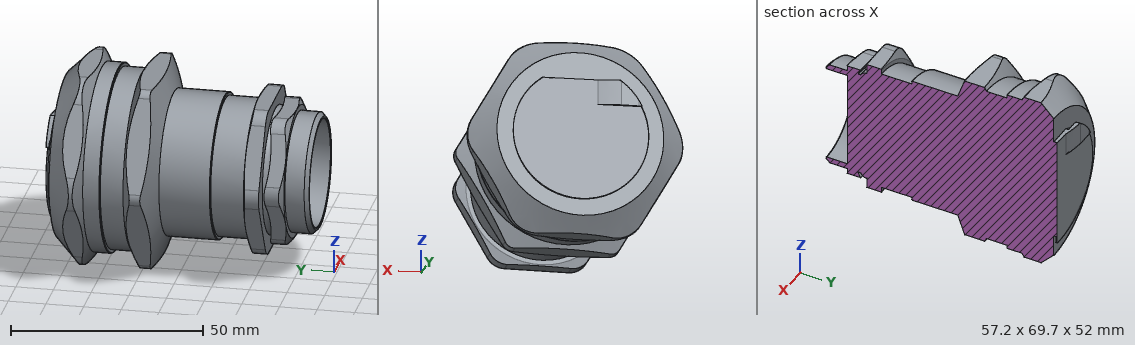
import cadquery as cq
import math

Y_LOCKNUT = 6.2
Y_FLANGE_NUT = 12.0
Y_SLEEVE = 16.5
Y_BODY = 25.4
Y_BODY_NUT = 39.0
Y_NECK = 47.6
Y_COLLAR = 53.6
Y_CAP_NUT = 58.1
Y_BACK = 67.6
Y_END = 69.73

D_TIP = 32.0
D_SLEEVE = 37.0
D_BODY = 38.8
D_NECK = 48.0
D_COLLAR = 50.0
TIP_CHAMFER = 1.1
EDGE_CHAMFER = 0.2

D_BORE = 28.5
BORE_DEPTH = 6.2
BORE_CHAMFER = 0.2

LOCKNUT_FLATS = 35.0
FLANGE_NUT_FLATS = 40.0
BODY_NUT_FLATS = 50.0
CAP_NUT_FLATS = 52.0
SMALL_CORNER_RADIUS = 5.3
BODY_NUT_CORNER_RADIUS = 3.0
CAP_NUT_WIDTH = 57.2

FACE_SLOPE = 30
BODY_NUT_FRONT_SLOPE = 20
CAP_NUT_BACK_SLOPE = 45
FLANGE_NUT_SLOPE = 18
LOCKNUT_BACK_SLOPE = 24
R_CAP_NUT_BACK = 22.2
R_FLANGE_NUT_BACK = 19.7
LOCKNUT_BACK_Y = 10.25

R_SEAL = 17.1
SEAL_ROUNDING = 2.0

R_DISC = 17.9
R_DISC_STEM = 16.0
DISC_THICKNESS = 0.5
DISC_TILT = 2.4
DISC_RISE = 0.95
DISC_TOP_Z = 14.7
FLAP_BOTTOM_Z = 8.0
FLAP_THICKNESS = 0.4
FLAP_ROOT_X = -4.5
FLAP_CREST_X = -10.5
FLAP_TIP_DROP = 0.3


def rise(radial_run, slope):
    """Axial height of a cone over a radial run."""
    return radial_run * math.tan(math.radians(slope))


def turned(points):
    """Solid of revolution about Y from (radius, y) points."""
    return cq.Workplane("XY").polyline(points).close().revolve(360, (0, 0, 0), (0, 1, 0))


def cylinder(diameter, y_start, y_end):
    return cq.Workplane("XZ", origin=(0, y_start, 0)).circle(diameter / 2).extrude(y_start - y_end)


def corner_distance(flats):
    """Axis to sharp hexagon corner."""
    return flats / 2 / math.cos(math.radians(30))


def hex_bar(flats, corner_radius, y_start, y_end):
    """Hexagonal bar with flats facing +Z and -Z and rounded corners."""
    bar = cq.Workplane("XZ", origin=(0, y_start, 0)).polygon(6, 2 * corner_distance(flats))
    return bar.extrude(y_start - y_end).edges("|Y").fillet(corner_radius)


def hex_nut(flats, corner_radius, y_start, y_end, profile):
    """Hexagonal bar with its end faces turned to the given profile."""
    return hex_bar(flats, corner_radius, y_start, y_end).intersect(turned(profile))


def tip():
    return cylinder(D_TIP, 0, Y_FLANGE_NUT).faces("<Y").chamfer(TIP_CHAMFER)


def bore():
    hole = cylinder(D_BORE, 0, BORE_DEPTH)
    mouth = turned([
        (0, 0),
        (D_BORE / 2 + BORE_CHAMFER, 0),
        (D_BORE / 2, BORE_CHAMFER),
        (0, BORE_CHAMFER),
    ])
    return hole.union(mouth)


def locknut():
    r_flat = LOCKNUT_FLATS / 2
    r_max = corner_distance(LOCKNUT_FLATS)
    r_root = R_SEAL - SEAL_ROUNDING
    y_root = LOCKNUT_BACK_Y - rise(r_flat - r_root, LOCKNUT_BACK_SLOPE)
    y_outer = LOCKNUT_BACK_Y + rise(r_max - r_flat, LOCKNUT_BACK_SLOPE)
    profile = [
        (0, Y_LOCKNUT),
        (r_flat, Y_LOCKNUT),
        (r_max, Y_LOCKNUT + rise(r_max - r_flat, FACE_SLOPE)),
        (r_max, y_outer),
        (r_root, y_root),
        (0, y_root),
    ]
    return hex_nut(LOCKNUT_FLATS, SMALL_CORNER_RADIUS, Y_LOCKNUT, y_outer, profile)


def seal_ring():
    """Ring against the flange nut whose outer side is a quarter round."""
    r_inner = R_SEAL - SEAL_ROUNDING
    diagonal_leg = SEAL_ROUNDING * math.cos(math.radians(45))
    outline = (
        cq.Workplane("XY")
        .moveTo(0, Y_FLANGE_NUT)
        .lineTo(R_SEAL, Y_FLANGE_NUT)
        .threePointArc(
            (r_inner + diagonal_leg, Y_FLANGE_NUT - diagonal_leg),
            (r_inner, Y_FLANGE_NUT - SEAL_ROUNDING),
        )
        .lineTo(0, Y_FLANGE_NUT - SEAL_ROUNDING)
        .close()
    )
    return outline.revolve(360, (0, 0, 0), (0, 1, 0))


def flange_nut():
    r_max = corner_distance(FLANGE_NUT_FLATS)
    profile = [
        (0, Y_FLANGE_NUT),
        (r_max, Y_FLANGE_NUT),
        (r_max, Y_SLEEVE - rise(r_max - R_FLANGE_NUT_BACK, FLANGE_NUT_SLOPE)),
        (R_FLANGE_NUT_BACK, Y_SLEEVE),
        (0, Y_SLEEVE),
    ]
    return hex_nut(FLANGE_NUT_FLATS, SMALL_CORNER_RADIUS, Y_FLANGE_NUT, Y_SLEEVE, profile)


def body_nut():
    r_max = corner_distance(BODY_NUT_FLATS)
    r_front = D_BODY / 2
    r_back = D_NECK / 2
    profile = [
        (0, Y_BODY_NUT),
        (r_front, Y_BODY_NUT),
        (r_max, Y_BODY_NUT + rise(r_max - r_front, BODY_NUT_FRONT_SLOPE)),
        (r_max, Y_NECK - rise(r_max - r_back, FACE_SLOPE)),
        (r_back, Y_NECK),
        (0, Y_NECK),
    ]
    return hex_nut(BODY_NUT_FLATS, BODY_NUT_CORNER_RADIUS, Y_BODY_NUT, Y_NECK, profile)


def cap_nut():
    r_max = corner_distance(CAP_NUT_FLATS)
    shortening = 1 / math.cos(math.radians(30)) - 1
    corner_radius = (r_max - CAP_NUT_WIDTH / 2) / shortening
    r_front = D_COLLAR / 2
    profile = [
        (0, Y_CAP_NUT),
        (r_front, Y_CAP_NUT),
        (r_max, Y_CAP_NUT + rise(r_max - r_front, FACE_SLOPE)),
        (r_max, Y_BACK - rise(r_max - R_CAP_NUT_BACK, CAP_NUT_BACK_SLOPE)),
        (R_CAP_NUT_BACK, Y_BACK),
        (0, Y_BACK),
    ]
    return hex_nut(CAP_NUT_FLATS, corner_radius, Y_CAP_NUT, Y_BACK, profile)


def cylinders():
    sleeve = cylinder(D_SLEEVE, Y_SLEEVE, Y_BODY)
    body = cylinder(D_BODY, Y_BODY, Y_BODY_NUT).faces("<Y").chamfer(EDGE_CHAMFER)
    neck = cylinder(D_NECK, Y_NECK, Y_COLLAR)
    collar = cylinder(D_COLLAR, Y_COLLAR, Y_CAP_NUT).faces("<Y").chamfer(EDGE_CHAMFER)
    return sleeve.union(body).union(neck).union(collar)


def disc_trim():
    """Round outline of the disc with its straight top edge."""
    outline = cylinder(2 * R_DISC, Y_CAP_NUT, Y_END)
    height = DISC_TOP_Z + R_DISC
    keep = cq.Workplane("XY").box(2 * R_DISC, Y_END, height, centered=(True, False, False))
    return outline.intersect(keep.translate((0, 0, -R_DISC)))


def sealing_disc():
    """Tilted disc standing on a stem, with a lifted flap at its upper -X side."""
    y_face = Y_BACK + DISC_RISE
    plate = cylinder(2 * R_DISC, y_face - DISC_THICKNESS, y_face)
    stem = cylinder(2 * R_DISC_STEM, Y_CAP_NUT, y_face)
    disc = plate.union(stem).rotate((0, y_face, 0), (0, y_face, 1), -DISC_TILT)

    y_root = y_face - rise(FLAP_ROOT_X, DISC_TILT)
    y_tip = Y_END - FLAP_TIP_DROP
    flap = (
        cq.Workplane("XY", origin=(0, 0, FLAP_BOTTOM_Z))
        .moveTo(-R_DISC, y_tip)
        .spline([(FLAP_CREST_X, Y_END), (FLAP_ROOT_X, y_root)], includeCurrent=True)
        .lineTo(FLAP_ROOT_X, y_root - DISC_THICKNESS)
        .lineTo(-R_DISC, y_tip - FLAP_THICKNESS)
        .close()
        .extrude(DISC_TOP_Z - FLAP_BOTTOM_Z)
    )
    return disc.union(flap).intersect(disc_trim())


result = tip()
for section in (seal_ring(), locknut(), flange_nut(), cylinders(), body_nut(), cap_nut(), sealing_disc()):
    result = result.union(section)
result = result.cut(bore())